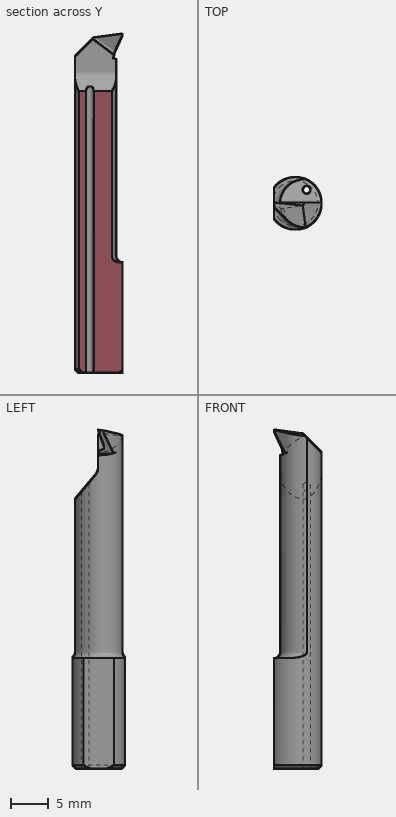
import cadquery as cq
import math


LENGTH = 45.0
SHANK_DIAMETER = 7.0
SHANK_RADIUS = SHANK_DIAMETER / 2
FLAT_TO_BACK = 6.35
FLAT_X = SHANK_RADIUS - FLAT_TO_BACK
END_CHAMFER = 0.5

NECK_RADIUS = 3.17
NECK_X = 1.15
SHOULDER_Z = 14.7
SHOULDER_FILLET = 0.8

FACE_Y = 0.1
FACE_BOTTOM_Z = 40.0
RAMP_ANGLE = 50.0
RAMP_FILLET = 1.5

COOLANT_DIAMETER = 1.0
COOLANT_X = 1.5
COOLANT_Y = 1.8

LEDGE_Z = 41.6
TANGENT_ANGLE = 45.0
NOSE_RADIUS = 0.2
TOP_ANGLE = 7.0
FLANK_ANGLE = 23.0
CLEARANCE_ANGLE = 6.5
BACK_BEVEL_Z = 42.0

GROOVE_END_X = 1.04
GROOVE_END_Z = 44.25
GROOVE_WALL_ANGLE = 37.0
GROOVE_WALL_LEAN = 0.43
GROOVE_FLOOR_X_SLOPE = 0.06
GROOVE_FLOOR_Z_SLOPE = 0.325
GROOVE_CORNER_RADIUS = 0.2

OVERSIZE = 20.0


def half_space(point, normal):
    """Large block lying on the side of a plane that its normal points to."""
    plane = cq.Plane(origin=point, normal=normal)
    return cq.Workplane(plane).rect(2 * OVERSIZE, 2 * OVERSIZE).extrude(OVERSIZE)


def round_bar():
    """Full-length round stock with its lower end chamfered."""
    return cq.Workplane("XY").circle(SHANK_RADIUS).extrude(LENGTH).faces("<Z").chamfer(END_CHAMFER)


def shank_and_neck():
    """Flatted shank and the neck above it, joined by a concave shoulder fillet."""
    flat = half_space((FLAT_X, 0, SHOULDER_Z), (-1, 0, 0))
    foot_radius = NECK_RADIUS + SHOULDER_FILLET
    fillet_top = SHOULDER_Z + SHOULDER_FILLET
    arc_offset = SHOULDER_FILLET * (1 - math.sqrt(0.5))
    neck = (
        cq.Workplane("XZ", origin=(NECK_X, 0, 0))
        .moveTo(0, 0)
        .lineTo(OVERSIZE, 0)
        .lineTo(OVERSIZE, SHOULDER_Z)
        .lineTo(foot_radius, SHOULDER_Z)
        .threePointArc((NECK_RADIUS + arc_offset, SHOULDER_Z + arc_offset), (NECK_RADIUS, fillet_top))
        .lineTo(NECK_RADIUS, LENGTH)
        .lineTo(0, LENGTH)
        .close()
        .revolve(360, (0, 0), (0, 1))
    )
    return round_bar().cut(flat).intersect(neck)


def above_ledge():
    """Region of the head: everything above a ledge square to the flank."""
    angle = math.radians(FLANK_ANGLE)
    ledge_start = (NECK_X - NECK_RADIUS, 0, LEDGE_Z)
    return half_space(ledge_start, (-math.sin(angle), 0, math.cos(angle)))


def side_wedge():
    """Full-height wedge between the flat face and a side face tangent to the neck."""
    angle = math.radians(TANGENT_ANGLE)
    tangent_point = (NECK_X - NECK_RADIUS * math.cos(angle), -NECK_RADIUS * math.sin(angle))
    side_run = (FACE_Y - tangent_point[1]) / math.cos(angle)
    side_end = (tangent_point[0] - side_run * math.sin(angle), FACE_Y)
    return (
        cq.Workplane("XY")
        .polyline([tangent_point, side_end, (NECK_X, FACE_Y), (NECK_X, 0)])
        .close()
        .extrude(LENGTH)
    )


def nose_envelope():
    """Relieved top and flank meeting in a rounded nose."""
    top_slope = math.tan(math.radians(TOP_ANGLE))
    flank_slope = math.tan(math.radians(FLANK_ANGLE))
    centre_x = FLAT_X + NOSE_RADIUS
    centre_z = LENGTH - NOSE_RADIUS
    top_at_centre = centre_z + NOSE_RADIUS / math.cos(math.radians(TOP_ANGLE))
    flank_at_centre = centre_x - NOSE_RADIUS / math.cos(math.radians(FLANK_ANGLE))
    top_at_flank = top_at_centre + top_slope * (centre_x - flank_at_centre)
    rise = (top_at_flank - centre_z) / (1 - top_slope * flank_slope)
    corner = (flank_at_centre - flank_slope * rise, centre_z + rise)
    far_top = (corner[0] + OVERSIZE, corner[1] - top_slope * OVERSIZE)
    far_bottom = (corner[0] + flank_slope * OVERSIZE, corner[1] - OVERSIZE)
    return (
        cq.Workplane("XZ", origin=(0, FACE_Y, 0))
        .polyline([corner, far_top, (far_top[0], far_bottom[1]), far_bottom])
        .close()
        .extrude(SHANK_DIAMETER, taper=CLEARANCE_ANGLE)
        .edges(cq.selectors.NearestToPointSelector((corner[0], -SHANK_RADIUS, corner[1])))
        .fillet(NOSE_RADIUS)
    )


def chip_clearance():
    """Space in front of the flat face, ending in a filleted ramp."""
    ramp_slope = math.tan(math.radians(RAMP_ANGLE))
    setback = RAMP_FILLET * math.tan(math.radians(90 - RAMP_ANGLE) / 2)
    corner_z = FACE_BOTTOM_Z - setback
    far_y = FACE_Y + SHANK_DIAMETER
    return (
        cq.Workplane("YZ", origin=(-OVERSIZE / 2, 0, 0))
        .moveTo(FACE_Y, LENGTH + OVERSIZE)
        .lineTo(FACE_Y, corner_z)
        .lineTo(far_y, corner_z - ramp_slope * SHANK_DIAMETER)
        .lineTo(far_y, LENGTH + OVERSIZE)
        .close()
        .extrude(OVERSIZE)
        .edges(cq.selectors.NearestToPointSelector((0, FACE_Y, corner_z)))
        .fillet(RAMP_FILLET)
    )


def back_bevel():
    """Corner cut at 45 degrees from the top face down to the +X side."""
    return half_space((SHANK_RADIUS, 0, BACK_BEVEL_Z), (1, 0, 1))


def chip_groove():
    """Wedge between a floor falling away from the nose and a leaning end wall."""
    wall_slope = math.tan(math.radians(GROOVE_WALL_ANGLE))
    floor_normal = cq.Vector(GROOVE_FLOOR_X_SLOPE, 1, -GROOVE_FLOOR_Z_SLOPE)
    wall_normal = cq.Vector(-wall_slope, GROOVE_WALL_LEAN, 1)
    floor = half_space((FLAT_X, FACE_Y, LENGTH), floor_normal)
    wall = half_space((GROOVE_END_X, FACE_Y, GROOVE_END_Z), wall_normal)
    corner_direction = floor_normal.cross(wall_normal)
    return (
        floor.intersect(wall)
        .edges(cq.selectors.ParallelDirSelector(corner_direction))
        .fillet(GROOVE_CORNER_RADIUS)
    )


def coolant_hole():
    """Straight hole from end to end."""
    return cq.Workplane("XY").center(COOLANT_X, COOLANT_Y).circle(COOLANT_DIAMETER / 2).extrude(LENGTH)


stem = shank_and_neck()
head_region = above_ledge()
head = stem.intersect(head_region).union(side_wedge().intersect(head_region)).intersect(nose_envelope())
bar = stem.cut(head_region).union(head).clean()
for cutter in (chip_clearance(), back_bevel(), chip_groove(), coolant_hole()):
    bar = bar.cut(cutter)

result = bar